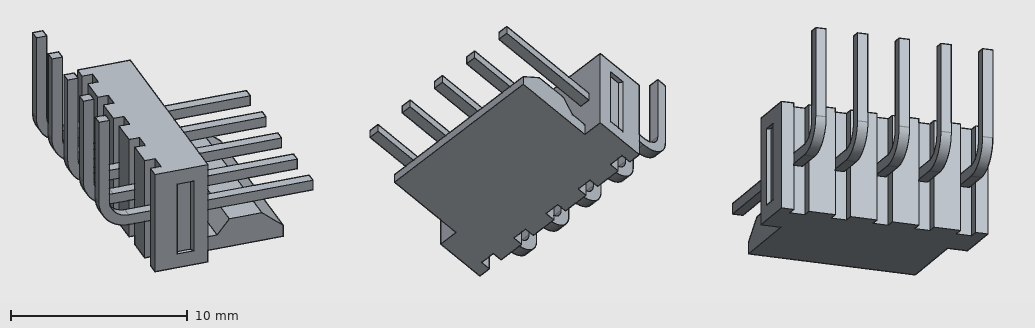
import cadquery as cq

pin_count = 5
pitch = 2.53
pin_size = 0.63
pin_length = 12.93
pin_top = 9.93
bend_inner_radius = 1.16

body_length = 12.55
body_depth = 3.2
body_height = 6.37
body_front = 3.05

groove_width = 0.92
groove_depth = 0.63

recess_height = 4.56
recess_mouth_back = 0.85
recess_mouth_width = 1.02
recess_depth = 0.25
recess_back_taper = 0.12
recess_front_taper = 0.14

latch_reach = 5.02
latch_floor = 0.9
latch_tip_height = 0.71
latch_crest_height = 1.81
latch_crest_back = 3.71
latch_crest_front = 1.75
latch_ramp_foot = 1.01

body_back = body_front + body_depth
mid_height = body_height / 2
row_length = (pin_count - 1) * pitch
pin_centers = [i * pitch - row_length / 2 for i in range(pin_count)]


def make_housing():
    """Block centred on X with a vertical groove at every pin."""
    housing = cq.Workplane("XY").box(
        body_length, body_depth, body_height, centered=(True, False, False)
    ).translate((0, body_front, 0))
    groove = cq.Workplane("XY").box(
        groove_width, groove_depth, body_height, centered=(True, False, False)
    )
    for x in pin_centers:
        housing = housing.cut(groove.translate((x, body_front, 0)))
    return housing


def make_end_recess():
    """Recess in the -X end, narrowing in Y towards its floor."""
    mouth_x = -body_length / 2
    floor_x = mouth_x + recess_depth
    back_y = body_back - recess_mouth_back
    front_y = back_y - recess_mouth_width
    outline = [
        (mouth_x, back_y),
        (floor_x, back_y - recess_back_taper),
        (floor_x, front_y + recess_front_taper),
        (mouth_x, front_y),
    ]
    recess = cq.Workplane("XY").polyline(outline).close().extrude(recess_height)
    return recess.translate((0, 0, mid_height - recess_height / 2))


def make_latch():
    """Ledge with a ramped crest, running from the first pin to the last."""
    profile = [
        (body_back, 0),
        (body_back + latch_reach, 0),
        (body_back + latch_reach, latch_tip_height),
        (body_back + latch_crest_back, latch_crest_height),
        (body_back + latch_crest_front, latch_crest_height),
        (body_back + latch_ramp_foot, latch_floor),
        (body_back, latch_floor),
    ]
    return cq.Workplane("YZ").polyline(profile).close().extrude(row_length / 2, both=True)


def make_pin():
    """Square pin: straight along Y, then bent up to +Z at the front."""
    bottom = mid_height - pin_size / 2
    top = mid_height + pin_size / 2
    bend_outer_radius = bend_inner_radius + pin_size
    outline = (
        cq.Workplane("YZ")
        .moveTo(pin_length, bottom)
        .lineTo(bend_outer_radius, bottom)
        .radiusArc((0, bottom + bend_outer_radius), bend_outer_radius)
        .lineTo(0, pin_top)
        .lineTo(pin_size, pin_top)
        .lineTo(pin_size, top + bend_inner_radius)
        .radiusArc((bend_outer_radius, top), -bend_inner_radius)
        .lineTo(pin_length, top)
        .close()
    )
    return outline.extrude(pin_size / 2, both=True)


end_recess = make_end_recess()
result = make_housing().cut(end_recess).cut(end_recess.mirror("YZ")).union(make_latch())

pin = make_pin()
for x in pin_centers:
    result = result.union(pin.translate((x, 0, 0)))